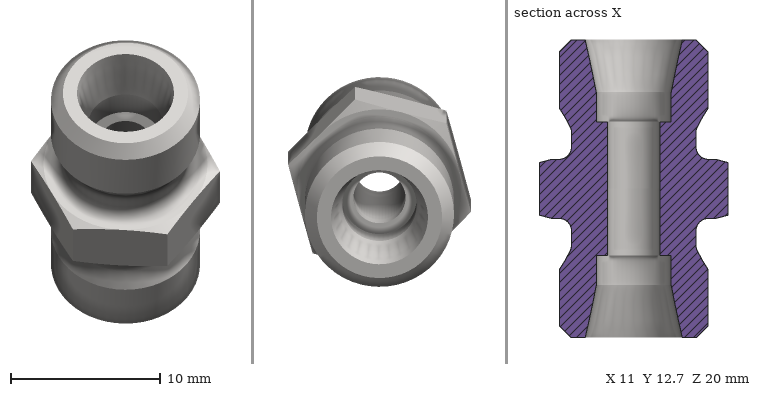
import cadquery as cq
import math

length = 20.0
half_length = length / 2

hex_flats = 11.0
hex_height = 4.0
hex_corners = hex_flats / math.cos(math.radians(30))
hex_chamfer_angle = 15.0

thread_radius = 5.0
neck_radius = 4.2
end_chamfer = thread_radius - neck_radius
thread_end = 4.6
runout_angle = 30.0
neck_fillet = 0.8
runout_fillet = 0.8

bore_radius = 3.5 / 2
socket_radius = 5.0 / 2
mouth_radius = 6.5 / 2
taper_angle = 12.0
socket_depth = 5.5


def revolve_profile(profile):
    """Revolve a closed (radius, height) profile about the Z axis."""
    return profile.close().revolve(360, (0, 0, 0), (0, 1, 0))


def make_hexagon():
    """Hexagonal grip with corners on Y and conically trimmed faces."""
    grip = cq.Workplane("XY").polygon(6, hex_corners).extrude(hex_height / 2, both=True)
    grip = grip.rotate((0, 0, 0), (0, 0, 1), 90)
    flat_radius = hex_flats / 2
    corner_radius = hex_corners / 2
    top = hex_height / 2
    drop = (corner_radius - flat_radius) * math.tan(math.radians(hex_chamfer_angle))
    trim = revolve_profile(
        cq.Workplane("XZ")
        .moveTo(0, -top)
        .lineTo(flat_radius, -top)
        .lineTo(corner_radius, drop - top)
        .lineTo(corner_radius, top - drop)
        .lineTo(flat_radius, top)
        .lineTo(0, top)
    )
    return grip.intersect(trim)


def make_upper_spigot():
    """Threaded end, run-out cone and neck above the hexagon."""
    thread_bottom = half_length - thread_end
    slope = math.radians(runout_angle)
    cone_foot = thread_bottom - (thread_radius - neck_radius) / math.tan(slope)
    tangent = runout_fillet * math.tan(slope / 2)
    hex_top = hex_height / 2
    blend_center = neck_radius + runout_fillet
    blend_bottom = cone_foot - tangent
    blend_end = (
        blend_center - runout_fillet * math.cos(slope),
        blend_bottom + runout_fillet * math.sin(slope),
    )
    blend_mid = (
        blend_center - runout_fillet * math.cos(slope / 2),
        blend_bottom + runout_fillet * math.sin(slope / 2),
    )
    return revolve_profile(
        cq.Workplane("XZ")
        .moveTo(0, 0)
        .lineTo(neck_radius + neck_fillet, 0)
        .lineTo(neck_radius + neck_fillet, hex_top)
        .radiusArc((neck_radius, hex_top + neck_fillet), neck_fillet)
        .lineTo(neck_radius, blend_bottom)
        .threePointArc(blend_mid, blend_end)
        .lineTo(thread_radius, thread_bottom)
        .lineTo(thread_radius, half_length - end_chamfer)
        .lineTo(thread_radius - end_chamfer, half_length)
        .lineTo(0, half_length)
    )


def make_upper_bore():
    """Through bore widened by a socket: tapered mouth, straight bore, flat floor."""
    taper_depth = (mouth_radius - socket_radius) / math.tan(math.radians(taper_angle))
    taper_bottom = half_length - taper_depth
    socket_floor = half_length - socket_depth
    return revolve_profile(
        cq.Workplane("XZ")
        .moveTo(0, 0)
        .lineTo(bore_radius, 0)
        .lineTo(bore_radius, socket_floor)
        .lineTo(socket_radius, socket_floor)
        .lineTo(socket_radius, taper_bottom)
        .lineTo(mouth_radius, half_length)
        .lineTo(0, half_length)
    )


def with_mirror(half):
    """Join an upper half with its copy below the XY plane."""
    return half.union(half.mirror("XY"))


body = make_hexagon().union(with_mirror(make_upper_spigot()))
result = body.cut(with_mirror(make_upper_bore()))